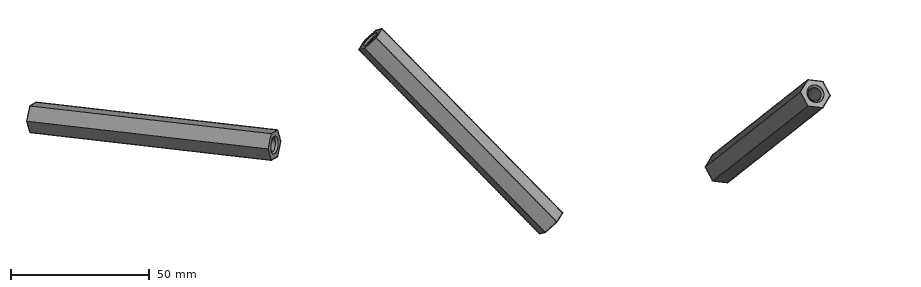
import cadquery as cq
import math

length = 95.0
across_flats = 10.0
hole_diameter = 5.0
hole_depth = 18.05
drill_point_angle = 118.0
countersink_diameter = 6.6
countersink_angle = 90.0

across_corners = across_flats / math.cos(math.radians(30))
hole_radius = hole_diameter / 2
countersink_radius = countersink_diameter / 2
countersink_depth = (countersink_radius - hole_radius) / math.tan(math.radians(countersink_angle / 2))
drill_point_length = hole_radius / math.tan(math.radians(drill_point_angle / 2))


def hex_bar():
    """Bar centred on the origin, with two corners on the Y axis and flats facing +Z and -Z."""
    return cq.Workplane("YZ").polygon(6, across_corners).extrude(length / 2, both=True)


def end_hole():
    """Drilled hole opening at the -X end, revolved from its half section about the X axis."""
    mouth = -length / 2
    return (
        cq.Workplane("XY")
        .moveTo(mouth, 0)
        .lineTo(mouth, countersink_radius)
        .lineTo(mouth + countersink_depth, hole_radius)
        .lineTo(mouth + hole_depth, hole_radius)
        .lineTo(mouth + hole_depth + drill_point_length, 0)
        .close()
        .revolve(360, (0, 0, 0), (1, 0, 0))
    )


hole = end_hole()
result = hex_bar().cut(hole).cut(hole.mirror("YZ"))